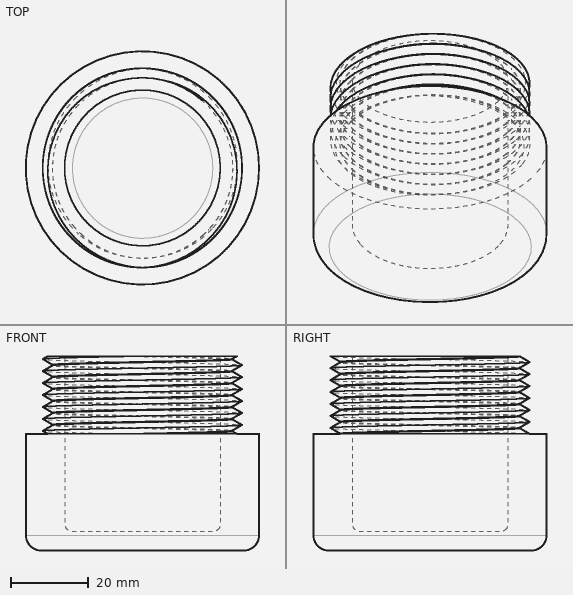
import cadquery as cq

body_diameter = 60.0
body_height = 30.0
neck_height = 20.0
bottom_round = 4.0
total_height = body_height + neck_height

bore_diameter = 40.0
bore_round = 2.0
floor_thickness = 5.0

crest_radius = 25.6
root_radius = 23.15
turns_on_neck = 6.5
pitch = neck_height / turns_on_neck
root_gap = 0.05
start_crest_height = -pitch / 2
thread_turns = turns_on_neck + 2
core_margin = 2 * pitch
root_overlap = 0.1


def make_base():
    """Plain base cylinder with a rounded lower edge."""
    base = cq.Workplane("XY").circle(body_diameter / 2).extrude(body_height)
    return base.faces("<Z").edges().fillet(bottom_round)


def make_neck():
    """Neck core with a helical V ridge, trimmed flat at the shoulder and the rim."""
    half_base = (pitch - root_gap) / 2
    inner_radius = root_radius - root_overlap
    ridge_profile = (
        cq.Workplane("XZ")
        .polyline([
            (inner_radius, -half_base),
            (crest_radius, 0),
            (inner_radius, half_base),
        ])
        .close()
    )
    helix = cq.Wire.makeHelix(pitch, thread_turns * pitch, inner_radius)
    ridge = ridge_profile.sweep(cq.Workplane(obj=helix), isFrenet=True)
    ridge = ridge.rotate((0, 0, 0), (0, 0, 1), -90)
    ridge = ridge.translate((0, 0, body_height + start_crest_height))
    core = (
        cq.Workplane("XY")
        .workplane(offset=body_height - core_margin)
        .circle(root_radius)
        .extrude(neck_height + 2 * core_margin)
    )
    neck_space = (
        cq.Workplane("XY")
        .workplane(offset=body_height)
        .circle(body_diameter / 2)
        .extrude(neck_height)
    )
    return core.union(ridge).intersect(neck_space)


def make_bore():
    """Blind bore open at the rim, rounded around its floor."""
    bore = (
        cq.Workplane("XY")
        .workplane(offset=floor_thickness)
        .circle(bore_diameter / 2)
        .extrude(total_height - floor_thickness)
    )
    return bore.faces("<Z").edges().fillet(bore_round)


result = make_base().union(make_neck()).cut(make_bore())